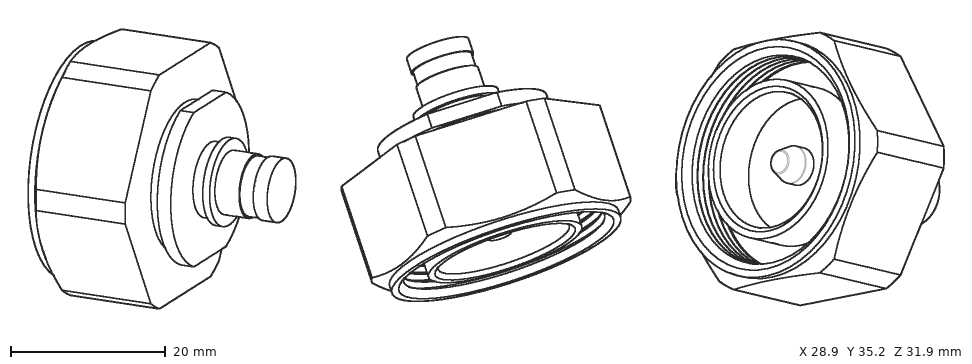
import cadquery as cq
import math

hex_sides = 6
across_flats = 31.85
corner_radius = 17.6
nut_back = 14.97
lip_length = 1.0
lip_radius = 15.6
bevel_angle = 60.0

cavity_depth = 6.6
cavity_radius = 13.7
mouth_chamfer = 0.95
thread_pitch = 1.1
thread_crest = 0.1
thread_flank_angle = 60.0
thread_count = 5

ring_front = 0.5
ring_radius = 10.45
socket_radius = 8.95
socket_chamfer = 0.6
pin_front = 2.65
pin_radius = 2.45
pin_tip_radius = 1.5
pin_taper_length = 2.33
pin_tip_fillet = 0.18
pin_shoulder_fillet = 0.35

flange_front = 16.63
flange_back = 18.55
flange_radius = 11.52
flange_across_flats = 21.0
neck_radius = 10.0
rear_steps = [
    (20.35, 5.0),
    (21.35, 5.78),
    (24.85, 4.23),
    (26.88, 3.98),
    (28.9, 4.23),
]


def revolve_profile(points):
    """Solid of revolution about X from (x, radius) points."""
    return cq.Workplane("XY").polyline(points).close().revolve(360, (0, 0, 0), (1, 0, 0))


def cylinder(start, end, radius):
    """Cylinder on the X axis between two positions."""
    return cq.Workplane("YZ").workplane(offset=start).circle(radius).extrude(end - start)


def make_nut():
    """Hexagon with turned corners, a bevelled front and a round lip."""
    bevel_end = lip_length + (corner_radius - lip_radius) / math.tan(math.radians(bevel_angle))
    envelope = revolve_profile([
        (lip_length, 0),
        (lip_length, lip_radius),
        (bevel_end, corner_radius),
        (nut_back, corner_radius),
        (nut_back, 0),
    ])
    across_corners = across_flats / math.cos(math.pi / hex_sides)
    hexagon = cq.Workplane("YZ").polygon(hex_sides, across_corners).extrude(nut_back)
    return hexagon.intersect(envelope).union(cylinder(0, lip_length, lip_radius))


def make_cavity():
    """Threaded cavity: a mouth chamfer followed by V grooves with narrow crests."""
    groove_width = thread_pitch - thread_crest
    groove_depth = groove_width / 2 * math.tan(math.radians(thread_flank_angle))
    profile = [(0, 0), (0, cavity_radius + mouth_chamfer), (mouth_chamfer, cavity_radius)]
    for groove in range(thread_count):
        start = mouth_chamfer + groove * thread_pitch
        profile.append((start + groove_width / 2, cavity_radius + groove_depth))
        profile.append((start + groove_width, cavity_radius))
        profile.append((start + thread_pitch, cavity_radius))
    profile += [(cavity_depth, cavity_radius), (cavity_depth, 0)]
    return revolve_profile(profile)


def make_contact_ring():
    """Sleeve standing on the cavity floor, chamfered at its inner mouth."""
    return revolve_profile([
        (cavity_depth, socket_radius),
        (ring_front + socket_chamfer, socket_radius),
        (ring_front, socket_radius + socket_chamfer),
        (ring_front, ring_radius),
        (cavity_depth, ring_radius),
    ])


def make_pin():
    """Centre pin with a tapered, softly rounded nose."""
    taper_end = pin_front + pin_taper_length
    pin = revolve_profile([
        (pin_front, 0),
        (pin_front, pin_tip_radius),
        (taper_end, pin_radius),
        (cavity_depth, pin_radius),
        (cavity_depth, 0),
    ])
    pin = pin.edges("<X").fillet(pin_tip_fillet)
    shoulder = cq.selectors.NearestToPointSelector((taper_end, 0, pin_radius))
    return pin.edges(shoulder).fillet(pin_shoulder_fillet)


def make_rear_body():
    """Neck, two-flat flange and the stepped tube behind the nut."""
    body = cylinder(nut_back, flange_front, neck_radius)
    flange = cylinder(flange_front, flange_back, flange_radius)
    flats = (
        cq.Workplane("YZ")
        .workplane(offset=flange_front)
        .rect(2 * flange_radius, flange_across_flats)
        .extrude(flange_back - flange_front)
    )
    body = body.union(flange.intersect(flats))
    start = flange_back
    for end, radius in rear_steps:
        body = body.union(cylinder(start, end, radius))
        start = end
    return body


result = (
    make_nut()
    .cut(make_cavity())
    .union(make_contact_ring())
    .union(make_pin())
    .union(make_rear_body())
)